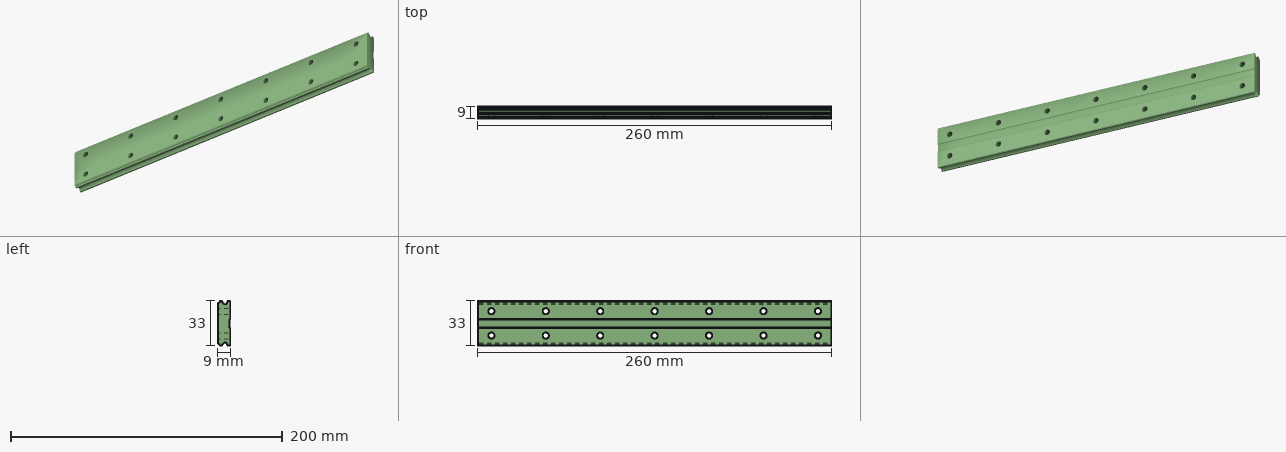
import cadquery as cq

length = 260.0
thickness = 9.0
height = 33.0

front_chamfer = 0.5
front_lip_back = 1.8
groove_floor_front = 3.0
groove_floor_back = 4.5
groove_depth = 2.3
ridge_front = 5.7
ridge_front_drop = 1.0
ridge_top_front = 6.5
ridge_top_back = 7.5
ridge_back = 7.8
ridge_back_drop = 0.3
shoulder_drop = 1.0
back_chamfer = 0.8

channel_width = 6.8
channel_depth = 0.5

hole_diameter = 4.5
hole_count = 7
hole_end_margin = 10.0
hole_row_spacing = 18.0
hole_pitch = (length - 2 * hole_end_margin) / (hole_count - 1)


def rail_profile():
    """Return the (y, z) outline, mirrored about the middle height."""
    front = -thickness / 2
    top = height / 2
    upper_edge = [
        (0, front_chamfer),
        (front_chamfer, 0),
        (front_lip_back, 0),
        (groove_floor_front, groove_depth),
        (groove_floor_back, groove_depth),
        (ridge_front, ridge_front_drop),
        (ridge_top_front, 0),
        (ridge_top_back, 0),
        (ridge_back, ridge_back_drop),
        (ridge_back, shoulder_drop),
        (thickness - back_chamfer, shoulder_drop),
        (thickness, shoulder_drop + back_chamfer),
    ]
    channel_wall = [
        (channel_depth, top - channel_width / 2 + channel_depth),
        (0, top - channel_width / 2),
    ]
    upper = [(front + back, top - drop) for back, drop in channel_wall + upper_edge]
    lower = [(y, -z) for y, z in reversed(upper)]
    return upper + lower


def make_rail():
    """Extrude the profile along the whole length, centred on the origin."""
    end_plane = cq.Workplane("YZ", origin=(-length / 2, 0, 0))
    return end_plane.polyline(rail_profile()).close().extrude(length)


def make_holes():
    """Return the pins that cut both rows of holes through the thickness."""
    return (
        cq.Workplane("XZ")
        .rarray(hole_pitch, hole_row_spacing, hole_count, 2)
        .circle(hole_diameter / 2)
        .extrude(thickness, both=True)
    )


result = make_rail().cut(make_holes())